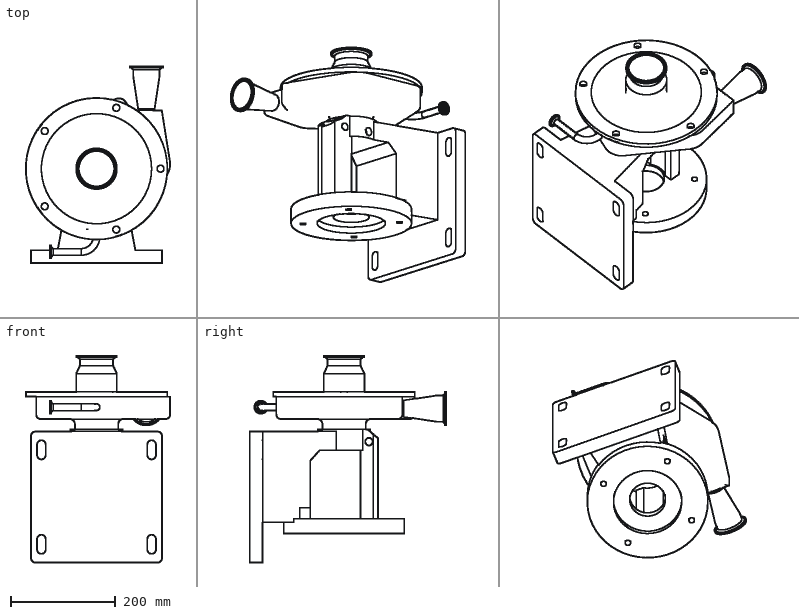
import cadquery as cq
import math


PLATE_SIZE = 250.0
PLATE_THICKNESS = 25.0
PLATE_FRONT_Y = -180.0
PLATE_BACK_Y = PLATE_FRONT_Y + PLATE_THICKNESS
PLATE_CORNER_RADIUS = 9.0
SLOT_LENGTH = 36.0
SLOT_WIDTH = 16.0
SLOT_SPACING_X = 210.0
SLOT_SPACING_Z = 180.0

MOTOR_FLANGE_RADIUS = 115.0
MOTOR_FLANGE_BOTTOM_Z = 55.5
MOTOR_FLANGE_TOP_Z = 84.0
MOTOR_FLANGE_THICKNESS = MOTOR_FLANGE_TOP_Z - MOTOR_FLANGE_BOTTOM_Z
MOTOR_BORE_RADIUS = 34.0
MOTOR_PILOT_RADIUS = 65.0
MOTOR_PILOT_DEPTH = 12.0
MOTOR_BOLT_CIRCLE_RADIUS = 92.0
MOTOR_BOLT_COUNT = 4
MOTOR_BOLT_DIAMETER = 10.5

HUB_RADIUS = 50.0
HUB_BOTTOM_Z = 214.0
HUB_TOP_Z = 254.0
HUB_CORE_RADIUS = 37.0
HUB_HOLE_DIAMETER = 15.0
HUB_HOLE_Z = 227.0

ARM_TOP_Z = PLATE_SIZE
ARM_BOTTOM_Z = 77.0
ARM_START_Y = -15.0
ARM_START_HALF_WIDTH = math.sqrt(HUB_RADIUS**2 - ARM_START_Y**2)
ARM_END_HALF_WIDTH = 74.2
ARM_INNER_Y = -64.0
ARM_CHAMFER_Y = 17.5
ARM_CHAMFER_Z = 19.5
NOTCH_HEIGHT = 21.0
NOTCH_DEPTH_Y = 20.7

COLUMN_HALF_WIDTH = 35.5
COLUMN_INNER_Y = 31.0
COLUMN_STEP_Y = 55.5
COLUMN_OUTER_Y = 65.0
COLUMN_EDGE_RADIUS = 5.0
RIB_HALF_WIDTH = 15.0
BEVEL_START_Y = 44.5
BEVEL_DROP = 17.0
CROSS_HOLE_DIAMETER = 14.0
CROSS_HOLE_Y = 47.5
CROSS_HOLE_Z = 230.5

CASING_BOTTOM_Z = 273.5
CASING_TOP_Z = 316.5
CASING_APOTHEM = 115.15
CASING_SIDES = 5
CASING_CORNER_RADIUS = 35.0
CASING_BOTTOM_FILLET = 9.0
OUTLET_SIDE_APOTHEM = 119.7
OUTLET_CORNER_RADIUS = 15.0
OUTLET_WALL_X = 124.6
OUTLET_FACE_Y = 111.0
COLLAR_RADIUS = 41.5
COLLAR_FILLET = 9.5

COVER_RADIUS = 135.0
COVER_TOP_Z = 325.6
RECESS_DEPTH = 15.0
RECESS_TOP_RADIUS = 105.0
RECESS_WALL_ANGLE = 45.0
RECESS_FILLET = RECESS_DEPTH
COVER_HOLE_CIRCLE_RADIUS = 122.0
COVER_HOLE_DIAMETER = 13.0

INLET_RADIUS = 39.0
INLET_NECK_RADIUS = 31.75
INLET_RIM_RADIUS = 38.75
INLET_CONE_BOTTOM_Z = 360.0
INLET_CONE_TOP_Z = 375.5
INLET_TOP_Z = 394.0

OUTLET_X = 95.0
OUTLET_Z = 293.5
OUTLET_THROAT_RADIUS = 13.0
OUTLET_SMALL_RADIUS = 15.9
OUTLET_TUBE_RADIUS = 25.4
OUTLET_RIM_RADIUS = 32.0
OUTLET_START_Y = 102.0
OUTLET_CONE_START_Y = 114.0
OUTLET_CONE_END_Y = 177.0
OUTLET_END_Y = 195.0

PIPE_RADIUS = 6.35
PIPE_BORE_RADIUS = 4.7
PIPE_RIM_RADIUS = 12.5
PIPE_Y = -158.5
PIPE_Z = 296.2
PIPE_END_X = -89.0
PIPE_BEND_START_X = -29.0
PIPE_BEND_RADIUS = 29.0
PIPE_INSIDE_Y = -110.0

RIM_THICKNESS = 3.0
FERRULE_LENGTH = 6.2
RIM_UNDERCUT = 3.0
GROOVE_MARGIN = 2.4
GROOVE_WIDTH = 2.8
GROOVE_DEPTH = 1.2


def disc(radius, bottom_z, top_z):
    """Cylinder on the pump axis."""
    return cq.Workplane("XY").workplane(offset=bottom_z).circle(radius).extrude(top_z - bottom_z)


def box(x_range, y_range, z_range):
    """Box between the low and high limits on each axis."""
    size = [high - low for low, high in (x_range, y_range, z_range)]
    corner = (x_range[0], y_range[0], z_range[0])
    return cq.Workplane("XY").box(*size, centered=False).translate(corner)


def along_x(radius, start, length):
    """Cylinder that starts at a point and runs toward +X."""
    return cq.Workplane(cq.Solid.makeCylinder(radius, length, cq.Vector(*start), cq.Vector(1, 0, 0)))


def ferrule_profile(rim_radius, tube_radius, end):
    """Half-outline points (radius, height) of a ferrule, from its tube up to its end face."""
    groove_outer = rim_radius - GROOVE_MARGIN
    groove_inner = groove_outer - GROOVE_WIDTH
    return [
        (tube_radius, end - FERRULE_LENGTH),
        (rim_radius - RIM_UNDERCUT, end - RIM_THICKNESS),
        (rim_radius, end - RIM_THICKNESS),
        (rim_radius, end),
        (groove_outer, end),
        (groove_outer, end - GROOVE_DEPTH),
        (groove_inner, end - GROOVE_DEPTH),
        (groove_inner, end),
        (0, end),
    ]


def revolved(points):
    """Solid of revolution about Z from (radius, height) points."""
    return cq.Workplane("XZ").polyline(points).close().revolve(360, (0, 0), (0, 1))


def make_plate():
    middle_z = PLATE_SIZE / 2
    plate = box((-PLATE_SIZE / 2, PLATE_SIZE / 2), (PLATE_FRONT_Y, PLATE_BACK_Y), (0, PLATE_SIZE))
    plate = plate.edges("|Y").fillet(PLATE_CORNER_RADIUS)
    slots = (
        cq.Workplane("XZ", origin=(0, PLATE_BACK_Y, middle_z))
        .rarray(SLOT_SPACING_X, SLOT_SPACING_Z, 2, 2)
        .slot2D(SLOT_LENGTH, SLOT_WIDTH, 90)
        .extrude(PLATE_THICKNESS)
    )
    return plate.cut(slots)


def make_motor_flange():
    bolt_holes = (
        cq.Workplane("XY", origin=(0, 0, MOTOR_FLANGE_BOTTOM_Z))
        .polarArray(MOTOR_BOLT_CIRCLE_RADIUS, 180 / MOTOR_BOLT_COUNT, 360, MOTOR_BOLT_COUNT)
        .circle(MOTOR_BOLT_DIAMETER / 2)
        .extrude(MOTOR_FLANGE_THICKNESS)
    )
    flange = disc(MOTOR_FLANGE_RADIUS, MOTOR_FLANGE_BOTTOM_Z, MOTOR_FLANGE_TOP_Z)
    bore = disc(MOTOR_BORE_RADIUS, MOTOR_FLANGE_BOTTOM_Z, MOTOR_FLANGE_TOP_Z)
    pilot_top_z = MOTOR_FLANGE_BOTTOM_Z + MOTOR_PILOT_DEPTH
    pilot = disc(MOTOR_PILOT_RADIUS, MOTOR_FLANGE_BOTTOM_Z, pilot_top_z)
    return flange.cut(bore).cut(pilot).cut(bolt_holes)


def make_hub():
    """Hub with a radial hole in its -X side that stops at the cylindrical core."""
    hole = along_x(HUB_HOLE_DIAMETER / 2, (-HUB_RADIUS, 0, HUB_HOLE_Z), HUB_RADIUS)
    hole = hole.cut(disc(HUB_CORE_RADIUS, HUB_BOTTOM_Z, HUB_TOP_Z))
    return disc(HUB_RADIUS, HUB_BOTTOM_Z, HUB_TOP_Z).cut(hole)


def make_arm():
    """Tapered arm: its side profile along X, limited to the trapezoid it fills in plan."""
    chamfer_start_y = ARM_INNER_Y + ARM_CHAMFER_Y
    profile = (
        cq.Workplane("YZ", origin=(-ARM_END_HALF_WIDTH, 0, 0))
        .moveTo(ARM_START_Y, ARM_TOP_Z)
        .lineTo(PLATE_BACK_Y, ARM_TOP_Z)
        .lineTo(PLATE_BACK_Y, ARM_BOTTOM_Z)
        .lineTo(ARM_INNER_Y, ARM_BOTTOM_Z)
        .lineTo(ARM_INNER_Y, HUB_BOTTOM_Z - ARM_CHAMFER_Z)
        .lineTo(chamfer_start_y, HUB_BOTTOM_Z)
        .lineTo(ARM_START_Y, HUB_BOTTOM_Z)
        .close()
        .extrude(2 * ARM_END_HALF_WIDTH)
    )
    plan = (
        cq.Workplane("XY")
        .moveTo(-ARM_START_HALF_WIDTH, ARM_START_Y)
        .lineTo(-ARM_END_HALF_WIDTH, PLATE_BACK_Y)
        .lineTo(ARM_END_HALF_WIDTH, PLATE_BACK_Y)
        .lineTo(ARM_START_HALF_WIDTH, ARM_START_Y)
        .close()
        .extrude(ARM_TOP_Z)
    )
    return profile.intersect(plan).cut(make_bolt_notches())


def arm_half_width(y):
    """Half the width of the tapered arm at a given Y."""
    taper = (ARM_END_HALF_WIDTH - ARM_START_HALF_WIDTH) / (ARM_START_Y - PLATE_BACK_Y)
    return ARM_START_HALF_WIDTH + taper * (ARM_START_Y - y)


def make_bolt_notches():
    """Clearance for the motor bolts: the foot of the arm's inner face recedes to both sides."""
    side_y = ARM_INNER_Y - NOTCH_DEPTH_Y
    side_x = arm_half_width(side_y)
    notch = (
        cq.Workplane("XY", origin=(0, 0, MOTOR_FLANGE_TOP_Z))
        .moveTo(0, ARM_INNER_Y)
        .lineTo(side_x, side_y)
        .lineTo(side_x, ARM_INNER_Y)
        .close()
        .extrude(NOTCH_HEIGHT)
    )
    return notch.union(notch.mirror("YZ"))


def make_column():
    z_range = (MOTOR_FLANGE_TOP_Z, HUB_TOP_Z)
    body = box((-COLUMN_HALF_WIDTH, COLUMN_HALF_WIDTH), (COLUMN_INNER_Y, COLUMN_STEP_Y), z_range)
    body = body.edges("|Z and >Y").fillet(COLUMN_EDGE_RADIUS)
    rib = box((-RIB_HALF_WIDTH, RIB_HALF_WIDTH), (COLUMN_INNER_Y, COLUMN_OUTER_Y), z_range)
    rib = rib.edges("|Z and >Y").fillet(COLUMN_EDGE_RADIUS)
    bevel = (
        cq.Workplane("YZ", origin=(-COLUMN_HALF_WIDTH, 0, 0))
        .moveTo(BEVEL_START_Y, HUB_TOP_Z)
        .lineTo(COLUMN_OUTER_Y, HUB_TOP_Z)
        .lineTo(COLUMN_OUTER_Y, HUB_TOP_Z - BEVEL_DROP)
        .close()
        .extrude(2 * COLUMN_HALF_WIDTH)
    )
    groove = disc(HUB_CORE_RADIUS, MOTOR_FLANGE_TOP_Z, HUB_BOTTOM_Z)
    return body.union(rib).cut(bevel).cut(groove)


def make_cross_hole():
    """Hole through the column and the hub along X."""
    start = (-COLUMN_HALF_WIDTH, CROSS_HOLE_Y, CROSS_HOLE_Z)
    return along_x(CROSS_HOLE_DIAMETER / 2, start, 2 * COLUMN_HALF_WIDTH)


def side_crossing(first_angle, first_apothem, second_angle, second_apothem):
    """Point where two outline sides meet, each given by the direction and length of its apothem."""
    turn = math.sin(second_angle - first_angle)
    x = (first_apothem * math.sin(second_angle) - second_apothem * math.sin(first_angle)) / turn
    y = (second_apothem * math.cos(first_angle) - first_apothem * math.cos(second_angle)) / turn
    return x, y


def make_casing():
    """Rounded pentagon whose side next to +X carries a tangential outlet block."""
    step = 2 * math.pi / CASING_SIDES
    normals = [(i + 0.5) * step for i in range(CASING_SIDES)]
    plain_corners = [
        side_crossing(normals[i - 1], CASING_APOTHEM, normals[i], CASING_APOTHEM)
        for i in (2, 3, 4, 0)
    ]
    outlet_corner = side_crossing(normals[0], OUTLET_SIDE_APOTHEM, normals[1], CASING_APOTHEM)
    block_root = side_crossing(normals[0], OUTLET_SIDE_APOTHEM, math.pi / 2, OUTLET_FACE_Y)
    block_tip = (OUTLET_WALL_X, OUTLET_FACE_Y)
    casing = (
        cq.Workplane("XY", origin=(0, 0, CASING_BOTTOM_Z))
        .polyline([block_tip, block_root, outlet_corner] + plain_corners)
        .close()
        .extrude(CASING_TOP_Z - CASING_BOTTOM_Z)
    )
    roundings = [(corner, CASING_CORNER_RADIUS) for corner in plain_corners]
    roundings.append((outlet_corner, OUTLET_CORNER_RADIUS))
    middle_z = (CASING_BOTTOM_Z + CASING_TOP_Z) / 2
    for (x, y), radius in roundings:
        edge = cq.selectors.NearestToPointSelector((x, y, middle_z))
        casing = casing.edges("|Z").edges(edge).fillet(radius)
    return casing.faces("<Z").edges().fillet(CASING_BOTTOM_FILLET)


def make_collar():
    """Collar under the casing, flared where it meets the casing bottom."""
    flare_radius = COLLAR_RADIUS + COLLAR_FILLET
    flare_z = CASING_BOTTOM_Z - COLLAR_FILLET
    bend = COLLAR_FILLET * math.sqrt(0.5)
    return (
        cq.Workplane("XZ")
        .moveTo(0, HUB_TOP_Z)
        .lineTo(COLLAR_RADIUS, HUB_TOP_Z)
        .lineTo(COLLAR_RADIUS, flare_z)
        .threePointArc((flare_radius - bend, flare_z + bend), (flare_radius, CASING_BOTTOM_Z))
        .lineTo(0, CASING_BOTTOM_Z)
        .close()
        .revolve(360, (0, 0), (0, 1))
    )


def make_cover():
    return disc(COVER_RADIUS, CASING_TOP_Z, COVER_TOP_Z)


def make_recess():
    """Ring-shaped recess around the inlet, rounded into the floor on both sides."""
    floor_z = COVER_TOP_Z - RECESS_DEPTH
    wall = math.radians(RECESS_WALL_ANGLE)
    foot_radius = RECESS_TOP_RADIUS - RECESS_DEPTH / math.tan(wall)
    setback = RECESS_FILLET * math.tan(wall / 2)
    arc_center_radius = foot_radius - setback
    arc_center_z = COVER_TOP_Z

    def on_outer_arc(angle):
        return (
            arc_center_radius + RECESS_FILLET * math.sin(angle),
            arc_center_z - RECESS_FILLET * math.cos(angle),
        )

    inner_center_radius = INLET_RADIUS + RECESS_FILLET
    bend = RECESS_FILLET * math.sqrt(0.5)
    return (
        cq.Workplane("XZ")
        .moveTo(RECESS_TOP_RADIUS, COVER_TOP_Z)
        .lineTo(*on_outer_arc(wall))
        .threePointArc(on_outer_arc(wall / 2), (arc_center_radius, floor_z))
        .lineTo(inner_center_radius, floor_z)
        .threePointArc((inner_center_radius - bend, arc_center_z - bend), (INLET_RADIUS, COVER_TOP_Z))
        .close()
        .revolve(360, (0, 0), (0, 1))
    )


def make_cover_holes():
    """Blind holes as deep as the cover flange, one over each casing corner."""
    return (
        cq.Workplane("XY", origin=(0, 0, CASING_TOP_Z))
        .polarArray(COVER_HOLE_CIRCLE_RADIUS, 0, 360, CASING_SIDES)
        .circle(COVER_HOLE_DIAMETER / 2)
        .extrude(COVER_TOP_Z - CASING_TOP_Z)
    )


def make_inlet():
    tube = [
        (0, CASING_TOP_Z),
        (INLET_RADIUS, CASING_TOP_Z),
        (INLET_RADIUS, INLET_CONE_BOTTOM_Z),
        (INLET_NECK_RADIUS, INLET_CONE_TOP_Z),
    ]
    return revolved(tube + ferrule_profile(INLET_RIM_RADIUS, INLET_NECK_RADIUS, INLET_TOP_Z))


def make_outlet():
    """Conical nozzle toward +Y, built along Z and then laid over."""
    nozzle = [
        (0, OUTLET_START_Y),
        (OUTLET_THROAT_RADIUS, OUTLET_START_Y),
        (OUTLET_THROAT_RADIUS, OUTLET_CONE_START_Y),
        (OUTLET_SMALL_RADIUS, OUTLET_CONE_START_Y),
        (OUTLET_TUBE_RADIUS, OUTLET_CONE_END_Y),
    ]
    nozzle = revolved(nozzle + ferrule_profile(OUTLET_RIM_RADIUS, OUTLET_TUBE_RADIUS, OUTLET_END_Y))
    return nozzle.rotate((0, 0, 0), (1, 0, 0), -90).translate((OUTLET_X, 0, OUTLET_Z))


def make_drain_pipe():
    """Pipe that leaves the casing toward -Y, bends to -X and ends in a small ferrule."""
    tube_end_x = PIPE_END_X + FERRULE_LENGTH
    bend_center_y = PIPE_Y + PIPE_BEND_RADIUS
    bend = PIPE_BEND_RADIUS * math.sqrt(0.5)
    path = (
        cq.Workplane("XY", origin=(0, 0, PIPE_Z))
        .moveTo(tube_end_x, PIPE_Y)
        .lineTo(PIPE_BEND_START_X, PIPE_Y)
        .threePointArc(
            (PIPE_BEND_START_X + bend, bend_center_y - bend),
            (PIPE_BEND_START_X + PIPE_BEND_RADIUS, bend_center_y),
        )
        .lineTo(PIPE_BEND_START_X + PIPE_BEND_RADIUS, PIPE_INSIDE_Y)
    )
    section = cq.Workplane("YZ", origin=(tube_end_x, PIPE_Y, PIPE_Z)).circle(PIPE_RADIUS)
    pipe = section.sweep(path)
    ferrule = revolved([(0, -FERRULE_LENGTH)] + ferrule_profile(PIPE_RIM_RADIUS, PIPE_RADIUS, 0))
    ferrule = ferrule.rotate((0, 0, 0), (0, 1, 0), -90).translate((PIPE_END_X, PIPE_Y, PIPE_Z))
    bore = along_x(PIPE_BORE_RADIUS, (PIPE_END_X, PIPE_Y, PIPE_Z), PIPE_BEND_START_X - PIPE_END_X)
    return pipe.union(ferrule).cut(bore)


bracket = make_plate().union(make_motor_flange()).union(make_arm()).union(make_column()).union(make_hub())
bracket = bracket.cut(make_cross_hole())
pump = make_casing().union(make_cover()).union(make_collar())
pump = pump.cut(make_cover_holes()).union(make_inlet()).cut(make_recess())
pump = pump.union(make_outlet()).union(make_drain_pipe())
result = bracket.union(pump)